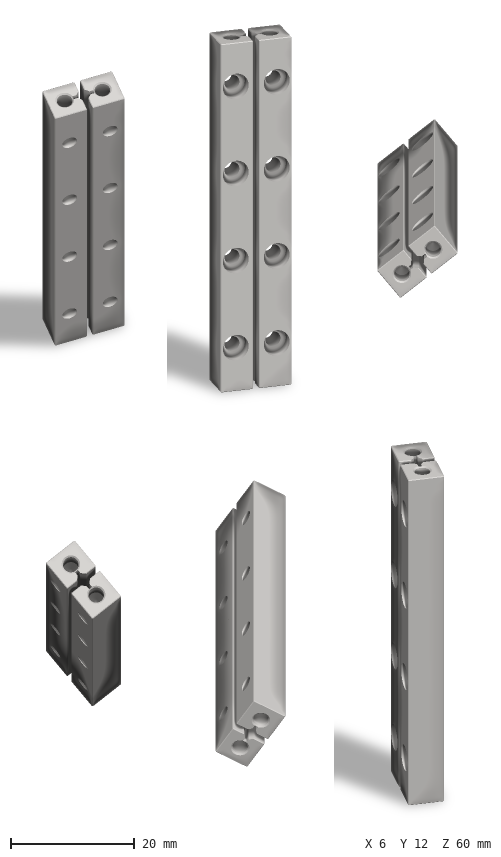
import cadquery as cq
import math

rail_length = 60.0
rail_depth = 6.0
pair_width = 12.0
rail_gap = 0.95
rail_width = (pair_width - rail_gap) / 2
edge_chamfer = 0.1

groove_half_width = 0.95
relief_half_width = 0.3
relief_depth = 1.3

mount_count = 4
mount_pitch = rail_length / mount_count
mount_diameter = 2.5
counterbore_diameter = 4.4
counterbore_depth = 2.0
mount_inset = 2.5

end_hole_diameter = 2.5
end_hole_depth = 3.6
end_countersink_diameter = 3.0
end_hole_inset = rail_width / 2
drill_point_angle = 100.0

inner_side = rail_gap / 2
outer_side = pair_width / 2


def rail_blank():
    """Rectangular bar on the +Y side with every edge broken."""
    return (
        cq.Workplane("XY")
        .box(rail_depth, rail_width, rail_length)
        .edges()
        .chamfer(edge_chamfer)
        .translate((0, inner_side + rail_width / 2, 0))
    )


def roller_groove():
    """Full-length V groove and relief slot, opening towards the other rail."""
    relief_start = inner_side + groove_half_width - relief_half_width
    relief_floor = inner_side + relief_depth
    return (
        cq.Workplane("XY", origin=(0, 0, -rail_length / 2))
        .moveTo(-groove_half_width, 0)
        .lineTo(-groove_half_width, inner_side)
        .lineTo(-relief_half_width, relief_start)
        .lineTo(-relief_half_width, relief_floor)
        .lineTo(relief_half_width, relief_floor)
        .lineTo(relief_half_width, relief_start)
        .lineTo(groove_half_width, inner_side)
        .lineTo(groove_half_width, 0)
        .close()
        .extrude(rail_length)
    )


def mounting_holes():
    """Row of through holes along X, counterbored from the -X side."""
    first_height = -mount_pitch * (mount_count - 1) / 2
    centres = [(outer_side - mount_inset, first_height + i * mount_pitch) for i in range(mount_count)]
    start_face = cq.Workplane("YZ", origin=(-rail_depth / 2, 0, 0)).pushPoints(centres)
    holes = start_face.circle(mount_diameter / 2).extrude(rail_depth)
    counterbores = start_face.circle(counterbore_diameter / 2).extrude(counterbore_depth)
    return holes.union(counterbores)


def top_end_hole():
    """Blind hole in the top end with a 90 degree countersink and a conical drill point."""
    radius = end_hole_diameter / 2
    mouth_radius = end_countersink_diameter / 2
    point_depth = radius / math.tan(math.radians(drill_point_angle / 2))
    return (
        cq.Workplane("XZ")
        .lineTo(mouth_radius, 0)
        .lineTo(radius, radius - mouth_radius)
        .lineTo(radius, -end_hole_depth)
        .lineTo(0, -end_hole_depth - point_depth)
        .close()
        .revolve(360, (0, 0), (0, 1))
        .translate((0, outer_side - end_hole_inset, rail_length / 2))
    )


def make_rail():
    """One complete rail, on the +Y side of the pair."""
    end_hole = top_end_hole()
    return (
        rail_blank()
        .cut(roller_groove())
        .cut(mounting_holes())
        .cut(end_hole)
        .cut(end_hole.mirror("XY"))
    )


rail = make_rail()
rails = [rail, rail.mirror("XZ")]

result = cq.Compound.makeCompound([body.solids().val() for body in rails])